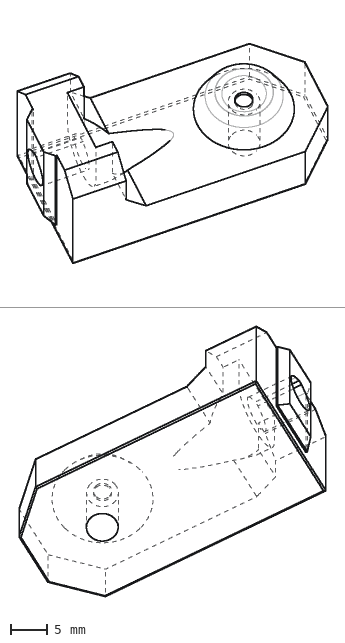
import cadquery as cq
import math


WIDTH = 20.0
BODY_LENGTH = 40.8
HEIGHT = 18.5
FLOOR_Z = 8.0
WALL_THICKNESS = 8.0
WALL_FOOT_BEVEL = 3.0
WALL_TOP_CHAMFER = 3.0
REAR_CHAMFER = 5.86
BOTTOM_CHAMFER = 0.25

KEY_DEPTH = 1.46
KEY_BEVEL = 1.25
KEY_WIDTH = 8.5
KEY_BOTTOM_Z = 2.1

AXIS_Z = 11.0
BORE_DIAMETER = 5.3
BORE_ROOF_HEIGHT = 2.9
BORE_ROOF_ANGLE = 32.0
POCKET_DIAMETER = 10.15
POCKET_DEPTH = 2.5

TROUGH_RUNOUT_Y = 19.25
TROUGH_END_DIAMETER = 5.0

BOSS_Y = 29.9
BOSS_HEIGHT = 4.0
BOSS_BASE_DIAMETER = 14.0
BOSS_TOP_DIAMETER = 10.0
COUNTERSINK_DIAMETER = 7.0
COUNTERSINK_DEPTH = 1.8
BOSS_RIM_FILLET = 1.5
NECK_DIAMETER = 2.5
NECK_LENGTH = 0.5
HOLE_DIAMETER = 4.4

BOSS_TOP_Z = FLOOR_Z + BOSS_HEIGHT
NECK_TOP_Z = BOSS_TOP_Z - COUNTERSINK_DEPTH
POCKET_FRONT_Y = WALL_THICKNESS - POCKET_DEPTH


def make_body():
    """L-shaped side profile with the plan and wall corners chamfered."""
    body = (
        cq.Workplane("YZ")
        .moveTo(0, 0)
        .lineTo(BODY_LENGTH, 0)
        .lineTo(BODY_LENGTH, FLOOR_Z)
        .lineTo(WALL_THICKNESS + WALL_FOOT_BEVEL, FLOOR_Z)
        .lineTo(WALL_THICKNESS, FLOOR_Z + WALL_FOOT_BEVEL)
        .lineTo(WALL_THICKNESS, HEIGHT)
        .lineTo(0, HEIGHT)
        .close()
        .extrude(WIDTH / 2, both=True)
    )
    body = body.faces(">Y").edges("|Z").chamfer(REAR_CHAMFER)
    body = body.faces(">Z").edges("|Y").chamfer(WALL_TOP_CHAMFER)
    return body.faces("<Z").edges().chamfer(BOTTOM_CHAMFER)


def make_key():
    """Raised key that runs up to the top of the wall."""
    key = cq.Workplane("XY").box(
        KEY_WIDTH, KEY_DEPTH, HEIGHT - KEY_BOTTOM_Z, centered=(True, False, False)
    )
    key = key.translate((0, -KEY_DEPTH, KEY_BOTTOM_Z))
    return key.faces("<Y").edges("|Z or <Z").chamfer(KEY_BEVEL)


def make_bore():
    """Round bore with sloped roof sides tangent to the circle and a narrow flat on top."""
    radius = BORE_DIAMETER / 2
    slope = math.radians(BORE_ROOF_ANGLE)
    tangent_x = radius * math.sin(slope)
    tangent_z = AXIS_Z + radius * math.cos(slope)
    roof_z = AXIS_Z + BORE_ROOF_HEIGHT
    roof_half_width = tangent_x - (roof_z - tangent_z) / math.tan(slope)
    return (
        cq.Workplane("XZ", origin=(0, -KEY_DEPTH, 0))
        .moveTo(tangent_x, tangent_z)
        .lineTo(roof_half_width, roof_z)
        .lineTo(-roof_half_width, roof_z)
        .lineTo(-tangent_x, tangent_z)
        .threePointArc((0, AXIS_Z - radius), (tangent_x, tangent_z))
        .close()
        .extrude(-(KEY_DEPTH + WALL_THICKNESS))
    )


def make_pocket():
    """U-shaped pocket in the back of the wall, open at the top."""
    radius = POCKET_DIAMETER / 2
    return (
        cq.Workplane("XZ", origin=(0, POCKET_FRONT_Y, 0))
        .moveTo(-radius, HEIGHT)
        .lineTo(-radius, AXIS_Z)
        .threePointArc((0, AXIS_Z - radius), (radius, AXIS_Z))
        .lineTo(radius, HEIGHT)
        .close()
        .extrude(-POCKET_DEPTH)
    )


def make_trough():
    """Cone that narrows from the pocket and meets the floor at the runout point."""
    start_radius = POCKET_DIAMETER / 2
    end_radius = TROUGH_END_DIAMETER / 2
    runout_radius = AXIS_Z - FLOOR_Z
    runout_length = TROUGH_RUNOUT_Y - WALL_THICKNESS
    length = runout_length * (start_radius - end_radius) / (start_radius - runout_radius)
    cone = cq.Solid.makeCone(
        start_radius,
        end_radius,
        length,
        cq.Vector(0, WALL_THICKNESS, AXIS_Z),
        cq.Vector(0, 1, 0),
    )
    return cq.Workplane("XY").add(cone)


def make_boss():
    """Tapered boss, countersunk at the top, with both rim edges rounded."""
    boss = (
        cq.Workplane("XZ")
        .moveTo(0, FLOOR_Z)
        .lineTo(BOSS_BASE_DIAMETER / 2, FLOOR_Z)
        .lineTo(BOSS_TOP_DIAMETER / 2, BOSS_TOP_Z)
        .lineTo(COUNTERSINK_DIAMETER / 2, BOSS_TOP_Z)
        .lineTo(NECK_DIAMETER / 2, NECK_TOP_Z)
        .lineTo(0, NECK_TOP_Z)
        .close()
        .revolve(360, (0, 0, 0), (0, 1, 0))
    )
    boss = boss.faces(">Z").edges().fillet(BOSS_RIM_FILLET)
    return boss.translate((0, BOSS_Y, 0))


def make_boss_hole():
    """Narrow neck under the countersink, opening into a wider hole below."""
    hole_top_z = NECK_TOP_Z - NECK_LENGTH
    hole = cq.Workplane("XY").circle(HOLE_DIAMETER / 2).extrude(hole_top_z)
    neck = cq.Workplane("XY").circle(NECK_DIAMETER / 2).extrude(NECK_TOP_Z)
    return hole.union(neck).translate((0, BOSS_Y, 0))


result = (
    make_body()
    .union(make_key())
    .union(make_boss())
    .cut(make_bore())
    .cut(make_pocket())
    .cut(make_trough())
    .cut(make_boss_hole())
)